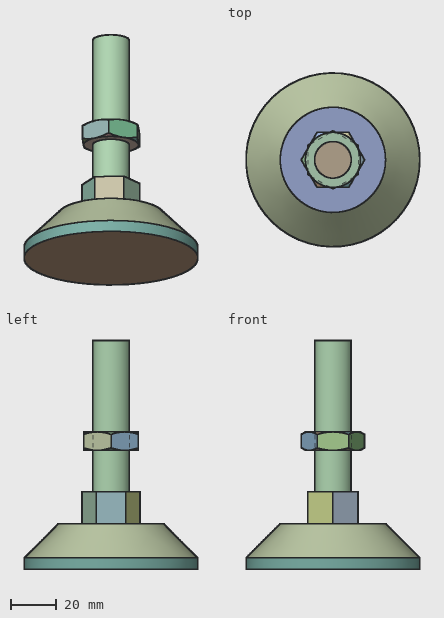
import cadquery as cq
import math

foot_diameter = 76.0
foot_top_diameter = 46.0
rim_height = 5.0
foot_height = 20.0

total_height = 100.0
rod_diameter = 16.0
spindle_hex_flats = 22.0
spindle_hex_height = 14.0

nut_flats = 24.0
nut_height = 8.0
nut_bottom = 52.0
nut_chamfer_angle = 30.0


def corner_diameter(flats):
    """Distance across the corners of a hexagon."""
    return flats / math.cos(math.radians(30.0))


def make_foot():
    half_profile = [
        (0, 0),
        (foot_diameter / 2, 0),
        (foot_diameter / 2, rim_height),
        (foot_top_diameter / 2, foot_height),
        (0, foot_height),
    ]
    return cq.Workplane("XZ").polyline(half_profile).close().revolve(360, (0, 0), (0, 1))


def make_spindle():
    rod_length = total_height - foot_height - spindle_hex_height
    hexagon = (
        cq.Workplane("XY")
        .workplane(offset=foot_height)
        .transformed(rotate=(0, 0, 90))
        .polygon(6, corner_diameter(spindle_hex_flats))
        .extrude(spindle_hex_height)
    )
    return hexagon.faces(">Z").workplane().circle(rod_diameter / 2).extrude(rod_length)


def make_nut_chamfer_envelope():
    """Disc with conical ends that trims the nut's corners at both faces."""
    flat_radius = nut_flats / 2
    corner_radius = corner_diameter(nut_flats) / 2
    chamfer_height = (corner_radius - flat_radius) * math.tan(math.radians(nut_chamfer_angle))
    half_profile = [
        (0, 0),
        (flat_radius, 0),
        (corner_radius, chamfer_height),
        (corner_radius, nut_height - chamfer_height),
        (flat_radius, nut_height),
        (0, nut_height),
    ]
    return cq.Workplane("XZ").polyline(half_profile).close().revolve(360, (0, 0), (0, 1))


def make_nut():
    blank = cq.Workplane("XY").polygon(6, corner_diameter(nut_flats)).extrude(nut_height)
    bore = cq.Workplane("XY").circle(rod_diameter / 2).extrude(nut_height)
    nut = blank.intersect(make_nut_chamfer_envelope()).cut(bore)
    return nut.translate((0, 0, nut_bottom))


foot = make_foot()
spindle = make_spindle()
nut = make_nut()

result = cq.Compound.makeCompound([foot.val(), spindle.val(), nut.val()])